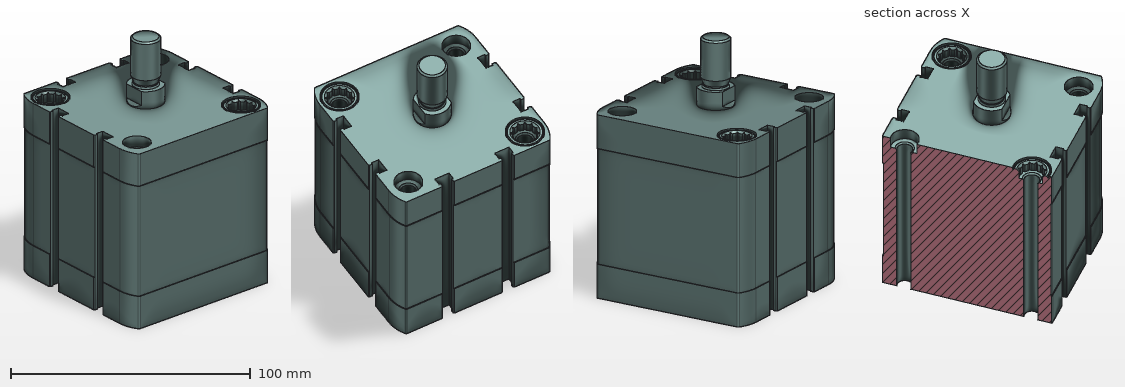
import cadquery as cq
import math

overall_height = 110.85
rod_projection = 29.85
housing_height = overall_height - rod_projection

housing_width = 75.5
half_width = housing_width / 2
corner_spacing = 56.5
corner_offset = corner_spacing / 2
corner_arc_radius = 17.0
corner_edge_fillet = 1.0
cap_height = 15.0
barrel_inset = 0.35

slot_offset = 14.5
slot_mouth_width = 5.2
slot_inner_width = 6.8
slot_lip_depth = 1.75
slot_depth = 5.2
slot_lead_in = 0.4

bore_depth = 5.0
through_diameter = 6.65
countersink_diameter = 8.0
counterbore_diameter = 12.0

head_recess_diameter = 16.4
head_diameter = 15.5
head_gap_depth = 1.0
head_sink = 0.3
head_chamfer = 0.4
socket_points = 12
socket_tip_diameter = 11.8
socket_valley_diameter = socket_tip_diameter * math.cos(math.radians(45)) / math.cos(math.radians(30))
socket_bore_diameter = 10.6
socket_mouth_diameter = 12.7
socket_cone_depth = 1.0

collar_diameter = 16.0
collar_height = 8.0
flat_spacing = 12.8
flat_bottom = 1.6
flat_runout_bottom = 0.3
neck_diameter = 10.6
neck_height = 1.4
neck_foot_diameter = 11.6
neck_foot_height = 0.8
thread_diameter = 12.7
thread_start = 12.3
tip_diameter = 11.0
tip_chamfer_height = 0.75


def housing_block(height, inset):
    """Block whose corners sweep in on a large arc and end in a small edge fillet."""
    half = half_width - inset
    radius = corner_arc_radius - inset
    centre_y = half - radius
    reach = half - corner_offset
    drop_angle = math.asin(reach / radius)
    corner_y = centre_y + radius * math.cos(drop_angle)
    mid_x = corner_offset + radius * math.sin(drop_angle / 2)
    mid_y = centre_y + radius * math.cos(drop_angle / 2)
    block = (
        cq.Workplane("XY")
        .moveTo(-corner_offset, half)
        .lineTo(corner_offset, half)
        .threePointArc((mid_x, mid_y), (half, corner_y))
        .lineTo(half, -corner_y)
        .threePointArc((mid_x, -mid_y), (corner_offset, -half))
        .lineTo(-corner_offset, -half)
        .threePointArc((-mid_x, -mid_y), (-half, -corner_y))
        .lineTo(-half, corner_y)
        .threePointArc((-mid_x, mid_y), (-corner_offset, half))
        .close()
        .extrude(height)
    )
    return block.edges("|Z").edges("<X or >X").fillet(corner_edge_fillet)


def slot_cutter(offset, side_angle):
    """T-slot with chamfered lips, cut into the +Y face and then turned about Z."""
    half_mouth = slot_mouth_width / 2
    half_inner = slot_inner_width / 2
    right_side = [
        (half_mouth + slot_lead_in, half_width),
        (half_mouth, half_width - slot_lead_in),
        (half_mouth, half_width - slot_lip_depth),
        (half_inner, half_width - slot_lip_depth),
        (half_inner, half_width - slot_depth),
    ]
    left_side = [(-x, y) for x, y in reversed(right_side)]
    cutter = cq.Workplane("XY").polyline(right_side + left_side).close().extrude(housing_height)
    return cutter.translate((offset, 0, 0)).rotate((0, 0, 0), (0, 0, 1), side_angle)


def disc(diameter, bottom, height):
    return cq.Workplane("XY").workplane(offset=bottom).circle(diameter / 2).extrude(height)


def cone(bottom_diameter, top_diameter, top, height):
    return (
        cq.Workplane("XY")
        .workplane(offset=top - height)
        .circle(bottom_diameter / 2)
        .workplane(offset=height)
        .circle(top_diameter / 2)
        .loft()
    )


def through_bore():
    """Full-height hole with a 90 degree countersink at the bore floor."""
    floor = housing_height - bore_depth
    countersink_depth = (countersink_diameter - through_diameter) / 2
    hole = disc(through_diameter, 0, floor)
    return hole.union(cone(through_diameter, countersink_diameter, floor, countersink_depth))


def counterbore_cutter():
    return through_bore().union(disc(counterbore_diameter, housing_height - bore_depth, bore_depth))


def socket_cutter():
    """Triple-square socket: twelve right-angled points around a round bore."""
    step = math.pi / socket_points
    points = []
    for i in range(2 * socket_points):
        radius = (socket_tip_diameter if i % 2 == 0 else socket_valley_diameter) / 2
        points.append((radius * math.cos(i * step), radius * math.sin(i * step)))
    floor = housing_height - bore_depth
    depth = bore_depth - head_sink
    star = cq.Workplane("XY").workplane(offset=floor).polyline(points).close().extrude(depth)
    return star.union(disc(socket_bore_diameter, floor, depth))


def screw_head_cutter():
    """Ring-shaped gap around a sunk screw head, with its socket and through hole."""
    gap_floor = housing_height - head_gap_depth
    head_top = housing_height - head_sink
    head = disc(head_diameter, gap_floor, head_gap_depth - head_sink).faces(">Z").chamfer(head_chamfer)
    gap = disc(head_recess_diameter, gap_floor, head_gap_depth).cut(head)
    socket_cone = cone(socket_bore_diameter, socket_mouth_diameter, head_top, socket_cone_depth)
    return gap.union(through_bore()).union(socket_cutter()).union(socket_cone)


def make_housing():
    top_cap_bottom = housing_height - cap_height
    body = housing_block(cap_height, 0)
    body = body.union(housing_block(housing_height, barrel_inset))
    body = body.union(housing_block(cap_height, 0).translate((0, 0, top_cap_bottom)))

    for side_angle in (0, 90, 180):
        for offset in (-slot_offset, slot_offset):
            body = body.cut(slot_cutter(offset, side_angle))

    for side in (-1, 1):
        screw_place = (side * corner_offset, side * corner_offset, 0)
        counterbore_place = (side * corner_offset, -side * corner_offset, 0)
        body = body.cut(screw_head_cutter().translate(screw_place))
        body = body.cut(counterbore_cutter().translate(counterbore_place))
    return body


def make_rod():
    """Turned rod standing on the housing, with two wrench flats on its collar."""
    neck_top = collar_height + neck_height
    profile = [
        (0, 0),
        (collar_diameter / 2, 0),
        (collar_diameter / 2, collar_height),
        (neck_foot_diameter / 2, collar_height),
        (neck_diameter / 2, collar_height + neck_foot_height),
        (neck_diameter / 2, neck_top),
        (thread_diameter / 2, thread_start),
        (thread_diameter / 2, rod_projection - tip_chamfer_height),
        (tip_diameter / 2, rod_projection),
        (0, rod_projection),
    ]
    rod = cq.Workplane("XZ").polyline(profile).close().revolve(360, (0, 0, 0), (0, 1, 0))

    collar_radius = collar_diameter / 2
    flat_profile = [
        (flat_spacing / 2, collar_height),
        (flat_spacing / 2, flat_bottom),
        (collar_radius, flat_runout_bottom),
        (collar_radius, collar_height),
    ]
    flat = cq.Workplane("YZ").polyline(flat_profile).close().extrude(collar_radius, both=True)
    rod = rod.cut(flat).cut(flat.mirror("XZ"))
    return rod.translate((0, 0, housing_height))


housing = make_housing()
rod = make_rod()

result = cq.Compound.makeCompound([housing.val(), rod.val()])